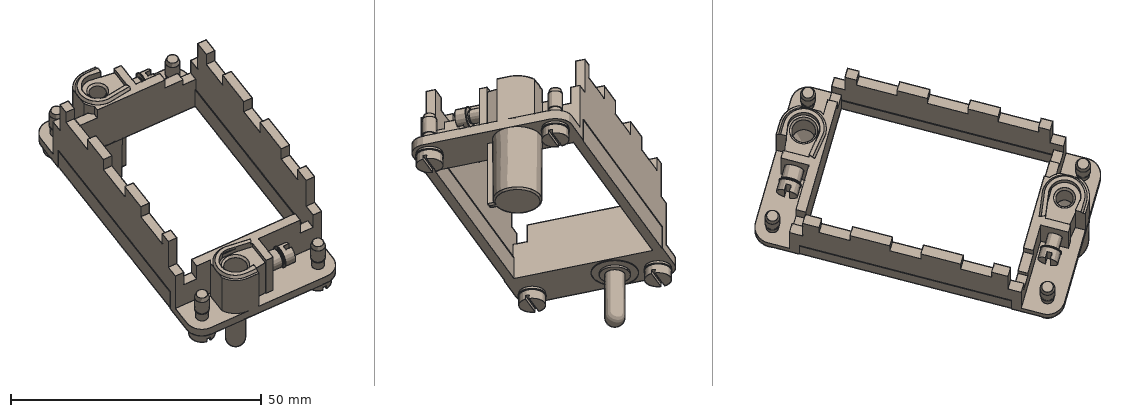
import cadquery as cq
import math


LENGTH = 64.0
WIDTH = 34.0
PLATE_THICKNESS = 2.05
CORNER_RADIUS = 3.5
OPENING_LENGTH = 43.9
OPENING_WIDTH = 29.7

SIDE_WALL_LENGTH = 48.0
SIDE_WALL_THICKNESS = 2.0
SHOULDER_Z = 11.8
CROWN_LENGTH = 42.5
CROWN_Z = 19.5
NOTCH_DEPTH = 3.0
NOTCH_PITCH = 14.65
FRONT_NOTCH_WIDTH = 8.4
BACK_NOTCH_WIDTH = 6.4
SKIRT_Z = 5.0
SKIRT_LENGTH = 43.9
SKIRT_OFFSET = 0.1

END_WALL_Z = 12.0
END_WALL_SPAN = 24.05
END_WALL_LOW_Z = 8.05
RELIEF_Z = 9.6
RELIEF_START_Y = 7.9

BOSS_X = 27.0
BOSS_Y = -4.8
BOSS_RADIUS = LENGTH / 2 - BOSS_X
BOSS_FLAT = 4.5
POCKET_FLOOR_Z = 11.0
POCKET_RADIUS = 3.25
ARM_LENGTH = 5.45
ARM_INSET = 0.8
SHORT_ARM_LENGTH = 2.5
LIP_Z = 12.55
LIP_BASE_RADIUS = 4.55
LIP_TOP_RADIUS = 4.1
CONTACT_HOLE_DEPTH = 6.4
HOLE_CHAMFER = 0.45
SOCKET_HOLE_RADIUS = 1.7
PIN_HOLE_RADIUS = 2.4

BRACKET_OUTER_X = 29.75
BRACKET_THICKNESS = 1.65
CLAMP_Z = 7.55
CLAMP_HEAD_END_Y = 7.9
CLAMP_HEAD_LENGTH = 2.5
CLAMP_RIM_STEP = 0.1
CLAMP_RIM_LENGTH = 0.2
CLAMP_UNDERCUT_DEPTH = 0.2
CLAMP_UNDERCUT_LENGTH = 0.3
CLAMP_SLOT_WIDTH = 1.0
CLAMP_SLOT_DEPTH = 1.3
SOCKET_CLAMP_RADII = (2.05, 1.5)
PIN_CLAMP_RADII = (2.2, 2.0)

SOCKET_BOTTOM_Z = -14.45
SOCKET_TOP_RADIUS = BOSS_RADIUS
SOCKET_BOTTOM_RADIUS = 4.85
SOCKET_KEY_WIDTH = 1.55
SOCKET_KEY_Y = 1.35
SOCKET_EDGE = 0.4
PIN_RADIUS = 2.05
PIN_TIP_Z = -12.55
PIN_PAD = (4.75, 0.2)
PIN_COLLAR = (3.15, 0.65)

SCREW_X = LENGTH / 2 - CORNER_RADIUS
SCREW_Y = WIDTH / 2 - CORNER_RADIUS
SCREW_TOP_Z = 8.8
SCREW_TOP_RADIUS = 1.15
SCREW_CHAMFER_Z = 7.8
SCREW_BODY_RADIUS = 1.5
SCREW_BODY_Z = 4.2
SCREW_NECK_RADIUS = 1.3
SCREW_HEAD_RADIUS = 2.7
SCREW_HEAD_Z = -2.8
SCREW_RIM_RADIUS = 2.8
SCREW_RIM_TOP_Z = -0.6
SCREW_RIM_BOTTOM_Z = -0.8
SCREW_SLOT_WIDTH = 0.8
SCREW_SLOT_DEPTH = 0.8


def block(x_range, y_range, z_range):
    """Axis-aligned box between the given limits."""
    corners = (x_range, y_range, z_range)
    sizes = [high - low for low, high in corners]
    lows = [low for low, high in corners]
    return cq.Workplane("XY").box(*sizes, centered=False).translate(tuple(lows))


def cylinder(radius, z_low, z_high):
    return cq.Workplane("XY").workplane(offset=z_low).circle(radius).extrude(z_high - z_low)


def turned(profile):
    """Solid of revolution about Z from (radius, z) points."""
    return cq.Workplane("XZ").polyline(profile).close().revolve(360, (0, 0), (0, 1))


def make_plate():
    plate = cq.Workplane("XY").rect(LENGTH, WIDTH).extrude(PLATE_THICKNESS)
    plate = plate.edges("|Z").fillet(CORNER_RADIUS)
    return plate.cut(cq.Workplane("XY").rect(OPENING_LENGTH, OPENING_WIDTH).extrude(PLATE_THICKNESS))


def make_side_wall(side, notch_width):
    """Long wall at Y = side * WIDTH / 2 with a stepped, notched top edge."""
    outer = side * WIDTH / 2
    inner = outer - side * SIDE_WALL_THICKNESS
    skirt_inner = side * OPENING_WIDTH / 2
    y_range = sorted((inner, outer))
    half = SIDE_WALL_LENGTH / 2
    half_crown = CROWN_LENGTH / 2
    wall = block((-half, half), y_range, (0, SHOULDER_Z))
    wall = wall.union(block((-half_crown, half_crown), y_range, (0, CROWN_Z)))
    wall = wall.union(block((-half, half), sorted((skirt_inner, outer)), (0, SKIRT_Z)))
    for x in (-NOTCH_PITCH, 0, NOTCH_PITCH):
        notch_x = (x - notch_width / 2, x + notch_width / 2)
        wall = wall.cut(block(notch_x, y_range, (CROWN_Z - NOTCH_DEPTH, CROWN_Z)))
    return wall


def make_skirt_recess(side):
    """Shallow step along the outer foot of a long wall."""
    outer = side * WIDTH / 2
    y_range = sorted((outer - side * SKIRT_OFFSET, outer))
    return block((-SKIRT_LENGTH / 2, SKIRT_LENGTH / 2), y_range, (0, SKIRT_Z))


def make_end_wall():
    """Short wall at the -X end, lower beside the corners."""
    x_range = (-SIDE_WALL_LENGTH / 2, -OPENING_LENGTH / 2)
    low_half = WIDTH / 2 - SIDE_WALL_THICKNESS
    half = END_WALL_SPAN / 2
    wall = block(x_range, (-low_half, low_half), (0, END_WALL_LOW_Z))
    return wall.union(block(x_range, (-half, half), (0, END_WALL_Z)))


def make_end_wall_reliefs():
    """Cutters that lower the end wall beside the clamp screw head."""
    x_range = (-SIDE_WALL_LENGTH / 2, -OPENING_LENGTH / 2)
    z_range = (RELIEF_Z, END_WALL_Z)
    half = END_WALL_SPAN / 2
    upper = block(x_range, (RELIEF_START_Y, half), z_range)
    return upper.union(block(x_range, (-half, -RELIEF_START_Y), z_range))


def lip_outline(radius, z):
    """U shape about the boss axis: short arm outwards (-X), long leaning arm inwards."""
    return (
        cq.Workplane("XY").workplane(offset=z)
        .moveTo(-radius, SHORT_ARM_LENGTH)
        .lineTo(-radius, 0)
        .threePointArc((0, -radius), (radius, 0))
        .lineTo(radius - ARM_INSET, ARM_LENGTH)
        .close()
        .val()
    )


def make_boss(hole_radius):
    """Boss of the -X end: U-shaped body, bevelled lip, open pocket and blind conical hole."""
    flat_half = math.sqrt(BOSS_RADIUS**2 - BOSS_FLAT**2)
    diagonal = BOSS_RADIUS * math.sqrt(0.5)
    neck_x = POCKET_RADIUS - ARM_INSET
    step_x = POCKET_RADIUS - ARM_INSET * SHORT_ARM_LENGTH / ARM_LENGTH
    body = (
        cq.Workplane("XY")
        .moveTo(-neck_x, ARM_LENGTH)
        .lineTo(-step_x, SHORT_ARM_LENGTH)
        .lineTo(-BOSS_RADIUS, SHORT_ARM_LENGTH)
        .lineTo(-BOSS_RADIUS, 0)
        .threePointArc((-diagonal, -diagonal), (-flat_half, -BOSS_FLAT))
        .lineTo(flat_half, -BOSS_FLAT)
        .threePointArc((diagonal, -diagonal), (BOSS_RADIUS, 0))
        .lineTo(BOSS_RADIUS - ARM_INSET, ARM_LENGTH)
        .close()
        .extrude(END_WALL_Z)
    )
    lip_wires = [lip_outline(LIP_BASE_RADIUS, END_WALL_Z), lip_outline(LIP_TOP_RADIUS, LIP_Z)]
    lip = cq.Workplane(cq.Solid.makeLoft(lip_wires, True))
    pocket = (
        cq.Workplane("XY").workplane(offset=POCKET_FLOOR_Z)
        .moveTo(-neck_x, ARM_LENGTH)
        .lineTo(-POCKET_RADIUS, 0)
        .threePointArc((0, -POCKET_RADIUS), (POCKET_RADIUS, 0))
        .lineTo(neck_x, ARM_LENGTH)
        .close()
        .extrude(LIP_Z - POCKET_FLOOR_Z)
    )
    open_side = block((-BOSS_RADIUS, 0), (SHORT_ARM_LENGTH, ARM_LENGTH), (POCKET_FLOOR_Z, LIP_Z))
    hole_bottom_z = POCKET_FLOOR_Z - CONTACT_HOLE_DEPTH
    hole = turned([
        (0, POCKET_FLOOR_Z),
        (hole_radius + HOLE_CHAMFER, POCKET_FLOOR_Z),
        (hole_radius, POCKET_FLOOR_Z - HOLE_CHAMFER),
        (hole_radius, hole_bottom_z),
        (0, hole_bottom_z - hole_radius),
    ])
    boss = body.union(lip).cut(pocket).cut(open_side).cut(hole)
    return boss.translate((-BOSS_X, BOSS_Y, 0))


def make_clamp(head_radius, shank_radius):
    """Bracket of the -X end with its slotted, undercut clamp screw along Y."""
    y_low = BOSS_Y + ARM_LENGTH
    y_high = y_low + BRACKET_THICKNESS
    bracket = block((-BRACKET_OUTER_X, -OPENING_LENGTH / 2), (y_low, y_high), (0, END_WALL_Z))
    head_start_y = CLAMP_HEAD_END_Y - CLAMP_HEAD_LENGTH
    rim_radius = head_radius + CLAMP_RIM_STEP
    undercut_y = head_start_y - CLAMP_UNDERCUT_LENGTH
    screw = cylinder(shank_radius, y_low, undercut_y)
    screw = screw.union(cylinder(shank_radius - CLAMP_UNDERCUT_DEPTH, undercut_y, head_start_y))
    screw = screw.union(cylinder(head_radius, head_start_y, CLAMP_HEAD_END_Y))
    screw = screw.union(cylinder(rim_radius, head_start_y, head_start_y + CLAMP_RIM_LENGTH))
    slot_half = CLAMP_SLOT_WIDTH / 2
    slot_z = (CLAMP_HEAD_END_Y - CLAMP_SLOT_DEPTH, CLAMP_HEAD_END_Y)
    screw = screw.cut(block((-slot_half, slot_half), (-rim_radius, rim_radius), slot_z))
    screw = screw.rotate((0, 0, 0), (1, 0, 0), -90).translate((-BOSS_X, 0, CLAMP_Z))
    return bracket.union(screw)


def make_end(hole_radius, clamp_radii):
    """Boss and clamp of the -X end."""
    return make_boss(hole_radius).union(make_clamp(*clamp_radii))


def make_socket():
    """Slightly tapered, keyed contact sleeve below the -X end."""
    key_half = SOCKET_KEY_WIDTH / 2
    key = block((-key_half, key_half), (0, SOCKET_KEY_Y - BOSS_Y), (SOCKET_BOTTOM_Z, 0))
    sleeve = turned([
        (0, 0),
        (SOCKET_TOP_RADIUS, 0),
        (SOCKET_BOTTOM_RADIUS, SOCKET_BOTTOM_Z),
        (0, SOCKET_BOTTOM_Z),
    ])
    socket = sleeve.union(key)
    return socket.faces("<Z").chamfer(SOCKET_EDGE).translate((-BOSS_X, BOSS_Y, 0))


def make_pin():
    """Round-ended contact pin below the +X end, with a collar on a thin round pad."""
    dome_z = PIN_TIP_Z + PIN_RADIUS
    pin = cylinder(PIN_RADIUS, dome_z, 0)
    pin = pin.union(cq.Workplane("XY").sphere(PIN_RADIUS).translate((0, 0, dome_z)))
    for radius, depth in (PIN_PAD, PIN_COLLAR):
        pin = pin.union(cylinder(radius, -depth, 0))
    return pin.translate((BOSS_X, BOSS_Y, 0))


def make_mounting_screw():
    """Screw standing through the plate, slotted head below."""
    screw = turned([
        (0, SCREW_HEAD_Z),
        (SCREW_HEAD_RADIUS, SCREW_HEAD_Z),
        (SCREW_HEAD_RADIUS, SCREW_RIM_BOTTOM_Z),
        (SCREW_RIM_RADIUS, SCREW_RIM_BOTTOM_Z),
        (SCREW_RIM_RADIUS, SCREW_RIM_TOP_Z),
        (SCREW_HEAD_RADIUS, SCREW_RIM_TOP_Z),
        (SCREW_HEAD_RADIUS, 0),
        (SCREW_NECK_RADIUS, 0),
        (SCREW_NECK_RADIUS, SCREW_BODY_Z),
        (SCREW_BODY_RADIUS, SCREW_BODY_Z),
        (SCREW_BODY_RADIUS, SCREW_CHAMFER_Z),
        (SCREW_TOP_RADIUS, SCREW_TOP_Z),
        (0, SCREW_TOP_Z),
    ])
    slot_half = SCREW_SLOT_WIDTH / 2
    slot_z = (SCREW_HEAD_Z, SCREW_HEAD_Z + SCREW_SLOT_DEPTH)
    return screw.cut(block((-SCREW_RIM_RADIUS, SCREW_RIM_RADIUS), (-slot_half, slot_half), slot_z))


frame = make_plate()
for side, notch_width in ((-1, FRONT_NOTCH_WIDTH), (1, BACK_NOTCH_WIDTH)):
    frame = frame.union(make_side_wall(side, notch_width)).cut(make_skirt_recess(side))
end_wall = make_end_wall()
frame = frame.union(end_wall.cut(make_end_wall_reliefs())).union(end_wall.mirror("YZ"))

result = frame.union(make_end(SOCKET_HOLE_RADIUS, SOCKET_CLAMP_RADII)).union(make_socket())
result = result.union(make_end(PIN_HOLE_RADIUS, PIN_CLAMP_RADII).mirror("YZ")).union(make_pin())

mounting_screw = make_mounting_screw()
for x in (-SCREW_X, SCREW_X):
    for y in (-SCREW_Y, SCREW_Y):
        result = result.union(mounting_screw.translate((x, y, 0)))